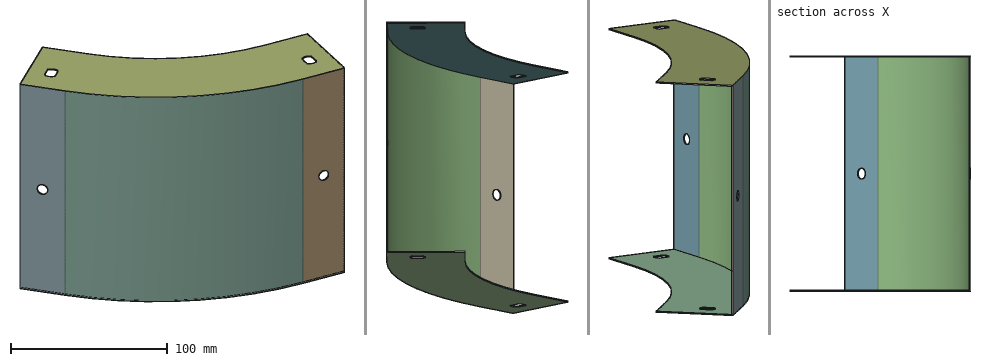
import cadquery as cq
import math

overall_length = 192.3
height = 150.0
flange_width = 50.0
straight_length = 30.0
sheet = 0.8
bend_angle = 45.0
hole_diameter = 7.0
slot_width = 7.0
slot_length = 10.0
slot_offset = 19.8

sin_bend = math.sin(math.radians(bend_angle))
cos_bend = math.cos(math.radians(bend_angle))
outer_radius = (overall_length - straight_length * (1 + cos_bend)) / sin_bend


def bend_point(radius, angle, along=0.0):
    """Point on an arc about the bend centre, moved along its tangent."""
    a = math.radians(angle)
    x = straight_length + radius * math.sin(a) + along * math.cos(a)
    y = outer_radius - radius * math.cos(a) + along * math.sin(a)
    return (x, y)


def curved_strip(width, bottom, thickness):
    """Plate following the bend inward from its outer edge."""
    inner_radius = outer_radius - width
    return (
        cq.Workplane("XY", origin=(0, 0, bottom))
        .moveTo(*bend_point(outer_radius, 0, -straight_length))
        .lineTo(*bend_point(outer_radius, 0))
        .threePointArc(
            bend_point(outer_radius, bend_angle / 2),
            bend_point(outer_radius, bend_angle),
        )
        .lineTo(*bend_point(outer_radius, bend_angle, straight_length))
        .lineTo(*bend_point(inner_radius, bend_angle, straight_length))
        .lineTo(*bend_point(inner_radius, bend_angle))
        .threePointArc(
            bend_point(inner_radius, bend_angle / 2),
            bend_point(inner_radius, 0),
        )
        .lineTo(*bend_point(inner_radius, 0, -straight_length))
        .close()
        .extrude(thickness)
    )


def end_cutters(angle, along):
    """Slot through both flanges and round hole through the wall at one end."""
    slot_x, slot_y = bend_point(outer_radius - slot_offset, angle, along)
    slots = (
        cq.Workplane("XY")
        .circle(slot_length / 2)
        .extrude(height)
        .intersect(cq.Workplane("XY").rect(slot_width, slot_length).extrude(height))
        .rotate((0, 0, 0), (0, 0, 1), angle)
        .translate((slot_x, slot_y, 0))
    )
    wall_x, wall_y = bend_point(outer_radius, angle, along)
    a = math.radians(angle)
    outward = cq.Vector(math.sin(a), -math.cos(a), 0)
    start = cq.Vector(wall_x, wall_y, height / 2) + outward * sheet
    cutter_length = 3 * sheet
    hole = cq.Solid.makeCylinder(hole_diameter / 2, cutter_length, start, outward * -1)
    return slots.union(cq.Workplane(hole))


result = (
    curved_strip(sheet, 0, height)
    .union(curved_strip(flange_width, 0, sheet))
    .union(curved_strip(flange_width, height - sheet, sheet))
)

result = result.cut(end_cutters(0, -straight_length / 2))
result = result.cut(end_cutters(bend_angle, straight_length / 2))